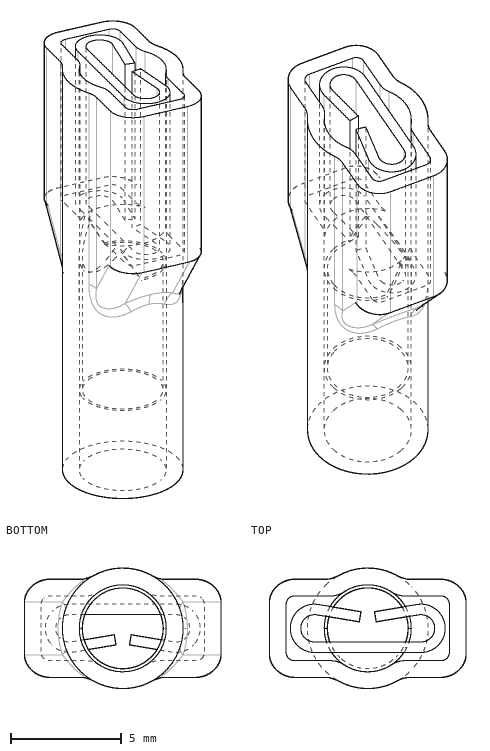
import cadquery as cq
import math

length = 20.57
head_width = 8.89
head_depth = 4.45
wall = 0.76
sleeve_radius = 2.725
head_corner_radius = 1.13
taper_corner_radius = 1.03
shoulder_z = 12.57
taper_steepness = 1.4
blend_radius = 1.03
cavity_blend_radius = 1.03
cavity_corner_radius = 0.37
bore_radius = sleeve_radius - wall

sheet = 0.47
roll_radius = 1.1
roll_offset = 2.4
arm_angle = math.radians(9.5)
arm_length = 1.95
barrel_wall = 0.15
barrel_bottom_z = 4.11
barrel_top_z = 10.7


def make_head():
    """Straight rounded head above the shoulder."""
    head_height = length - shoulder_z
    head = cq.Workplane("XY").workplane(offset=shoulder_z).rect(head_width, head_depth).extrude(head_height)
    return head.edges("|Z").fillet(head_corner_radius)


def make_taper():
    """Wedge below the shoulder, rounded along its sloping edges and pointing down the axis."""
    half_width = head_width / 2
    point_z = shoulder_z - taper_steepness * half_width
    wedge = (
        cq.Workplane("XZ")
        .polyline([(-half_width, shoulder_z), (half_width, shoulder_z), (0, point_z)])
        .close()
        .extrude(head_depth / 2, both=True)
    )
    sloping_edges = wedge.faces("<Z or >Z").edges("not(|X or |Y)")
    return sloping_edges.fillet(taper_corner_radius)


def make_cavity():
    """Head cavity with a flat floor at the shoulder and a bulge around the bore."""
    cavity_height = length - shoulder_z
    floor = cq.Workplane("XY").workplane(offset=shoulder_z)
    pocket = floor.rect(head_width - 2 * wall, head_depth - 2 * wall).extrude(cavity_height)
    pocket = pocket.edges("|Z").fillet(cavity_corner_radius)
    pocket = pocket.union(floor.circle(bore_radius).extrude(cavity_height))
    reach = sleeve_radius
    near_axis = cq.selectors.BoxSelector((-reach, -reach, shoulder_z), (reach, reach, length))
    return pocket.edges("|Z").edges(near_axis).edges("<Y or >Y").fillet(cavity_blend_radius)


def make_housing():
    sleeve = cq.Workplane("XY").circle(sleeve_radius).extrude(length)
    body = make_head().union(make_taper()).union(sleeve)
    junction = [e for e in body.edges().vals() if on_sleeve(e)]
    body = body.newObject(junction).fillet(blend_radius)
    bore = cq.Workplane("XY").circle(bore_radius).extrude(length)
    return body.cut(make_cavity()).cut(bore)


def on_sleeve(edge):
    """True for the edges where the head or its taper meets the sleeve."""
    tolerance = 0.002
    samples = edge.positions([0.1, 0.3, 0.7, 0.9])
    touching = all(abs(math.hypot(p.x, p.y) - sleeve_radius) < tolerance for p in samples)
    at_end = edge.Center().z < tolerance or edge.Center().z > length - tolerance
    is_seam = abs(edge.Center().y) < tolerance and edge.geomType() == "LINE"
    return touching and not at_end and not is_seam


def make_receptacle():
    """Flat base with both sides rolled over into arms that lean toward the base."""
    inner_radius = roll_radius - sheet
    normal = (math.sin(arm_angle), math.cos(arm_angle))

    def roll_point(radius):
        return (-roll_offset + radius * normal[0], radius * normal[1])

    def tip_point(radius):
        x, y = roll_point(radius)
        return (x + arm_length * normal[1], y - arm_length * normal[0])

    def roll_extreme(radius):
        return (-roll_offset - radius, 0)

    left_half = (
        cq.Workplane("XY")
        .workplane(offset=shoulder_z)
        .moveTo(0, -roll_radius)
        .lineTo(-roll_offset, -roll_radius)
        .threePointArc(roll_extreme(roll_radius), roll_point(roll_radius))
        .lineTo(*tip_point(roll_radius))
        .lineTo(*tip_point(inner_radius))
        .lineTo(*roll_point(inner_radius))
        .threePointArc(roll_extreme(inner_radius), (-roll_offset, -inner_radius))
        .lineTo(0, -inner_radius)
        .close()
        .extrude(length - shoulder_z)
    )
    return left_half.union(left_half.mirror("YZ"))


def make_neck():
    """Sloping plate from the receptacle base to the barrel, with a trough beneath its outer face."""
    barrel_inner = bore_radius - barrel_wall
    base_inner = roll_radius - sheet
    outer_top = (-roll_radius, shoulder_z)
    outer_bottom = (-bore_radius, barrel_top_z)
    plate = (
        cq.Workplane("YZ")
        .polyline([outer_top, outer_bottom, (-barrel_inner, barrel_top_z), (-base_inner, shoulder_z)])
        .close()
        .extrude(bore_radius, both=True)
    )
    neck_height = shoulder_z - barrel_top_z
    start = cq.Workplane("XY").workplane(offset=barrel_top_z)
    plate = plate.intersect(start.circle(bore_radius).extrude(neck_height))
    trough_limit = (
        cq.Workplane("YZ")
        .polyline([outer_top, outer_bottom, (0, barrel_top_z)])
        .close()
        .extrude(bore_radius, both=True)
    )
    trough = start.circle(bore_radius).circle(barrel_inner).extrude(neck_height).intersect(trough_limit)
    return plate.union(trough)


def make_terminal():
    barrel = (
        cq.Workplane("XY")
        .workplane(offset=barrel_bottom_z)
        .circle(bore_radius)
        .circle(bore_radius - barrel_wall)
        .extrude(barrel_top_z - barrel_bottom_z)
    )
    return barrel.union(make_neck()).union(make_receptacle())


housing = make_housing()
terminal = make_terminal()
result = cq.Compound.makeCompound([housing.val(), terminal.val()])